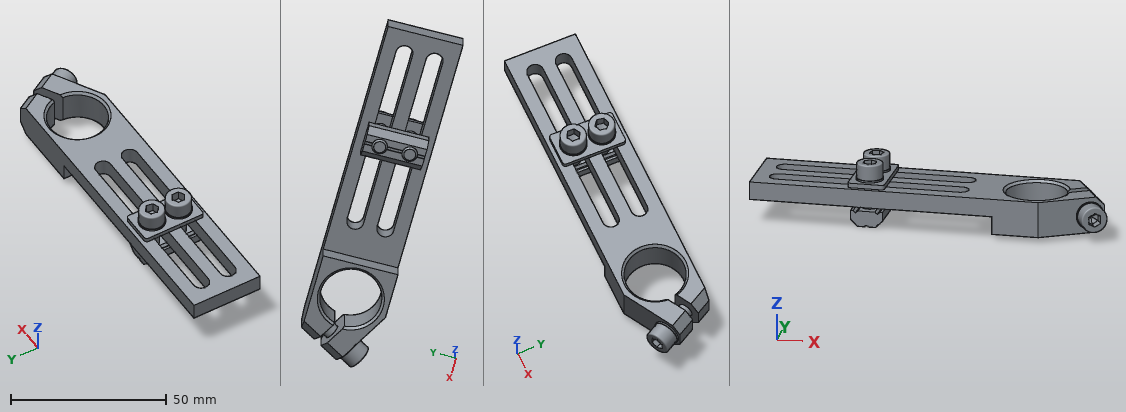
import cadquery as cq
import math

arm_width = 25.0
half_width = arm_width / 2
bar_thickness = 6.0
pad_thickness = 2 * bar_thickness
pad_start = 79.9
corner_x = 95.3

slot_width = 5.5
slot_start = 5.0
slot_end = 70.7
slot_spacing = 10.0
slot_offsets = (-slot_spacing / 2, slot_spacing / 2)

clamp_angle = 30.0
bore_diameter = 20.0
bore_chamfer = 0.8
gap_width = 3.0
gap_offset = 4.0
clamp_reach = 19.0
end_chamfer = 2.9
clamp_screw_reach = 14.0
bore_x = corner_x - half_width * math.tan(math.radians(clamp_angle / 2))

screw_diameter = 5.0
screw_length = 16.0
screw_tip_chamfer = 0.6
head_diameter = 8.5
head_height = 5.0
head_fillet = 0.5
socket_across_flats = 4.0
socket_depth = 3.0
socket_across_corners = socket_across_flats / math.cos(math.radians(30))
socket_tip_angle = 120.0
pyramid_depth = 1.0
socket_tip_depth = socket_across_corners / 2 / math.tan(math.radians(socket_tip_angle / 2))
washer_diameter = 9.0
washer_hole = 5.3
washer_thickness = 0.6

plate_length = 12.0
plate_width = 22.0
plate_thickness = 1.5
plate_corner = 1.0
plate_hole = slot_width
fixing_x = 38.0
fixing_turns = (0.0, -10.0)

nut_width = 10.5
nut_length = 20.0
nut_top = -8.0
nut_height = 5.3
nut_side_height = 3.0
nut_base_width = 6.0
top_groove_width = 1.6
top_groove_depth = 0.7
top_groove_offset = 3.6
bottom_groove_width = 0.9
bottom_groove_depth = 0.4

clamp_plane = cq.Plane(
    origin=(bore_x, 0, 0),
    xDir=(math.cos(math.radians(clamp_angle)), math.sin(math.radians(clamp_angle)), 0),
    normal=(0, 0, 1),
)
clamp_seat = cq.Plane(
    origin=clamp_plane.toWorldCoords((clamp_screw_reach, -half_width, -pad_thickness / 2)),
    xDir=(0, 0, 1),
    normal=-clamp_plane.yDir,
)


def plate_seat(y, turn):
    """Seat of a fixing screw on the plate's top face, turned about the screw axis."""
    seat = cq.Plane(origin=(fixing_x, y, plate_thickness), xDir=(0, 1, 0), normal=(0, 0, 1))
    return seat.rotated((0, 0, turn))


def place(body, seat):
    """Move a body built on the XY plane onto a seat plane."""
    return body.val().moved(cq.Location(seat))


def make_screw(make_socket):
    """Socket head screw along Z whose washer rests on Z = 0."""
    head_base = washer_thickness
    head_top = head_base + head_height
    shank = (
        cq.Workplane("XY", origin=(0, 0, head_base))
        .circle(screw_diameter / 2)
        .extrude(-screw_length)
        .faces("<Z")
        .chamfer(screw_tip_chamfer)
    )
    head = (
        cq.Workplane("XY", origin=(0, 0, head_base))
        .circle(head_diameter / 2)
        .extrude(head_height)
        .faces(">Z")
        .fillet(head_fillet)
    )
    return head.union(shank).cut(make_socket(head_top))


def make_conical_socket(head_top):
    """Hexagonal recess with a conical bottom."""
    hexagon = (
        cq.Workplane("XY", origin=(0, 0, head_top))
        .polygon(6, socket_across_corners)
        .extrude(-socket_depth - socket_tip_depth)
    )
    drill = (
        cq.Workplane("XZ")
        .moveTo(0, head_top)
        .lineTo(socket_across_corners / 2, head_top)
        .lineTo(socket_across_corners / 2, head_top - socket_depth)
        .lineTo(0, head_top - socket_depth - socket_tip_depth)
        .close()
        .revolve(360, (0, 0, 0), (0, 1, 0))
    )
    return hexagon.intersect(drill)


def make_pyramid_socket(head_top):
    """Hexagonal recess with a six-sided pyramid bottom."""
    hexagon = (
        cq.Workplane("XY", origin=(0, 0, head_top))
        .polygon(6, socket_across_corners)
        .extrude(-socket_depth)
    )
    tip = (
        cq.Workplane("XY", origin=(0, 0, head_top - socket_depth))
        .polygon(6, socket_across_corners)
        .extrude(-pyramid_depth, taper=socket_tip_angle / 2)
    )
    return hexagon.union(tip)


def make_washer():
    return (
        cq.Workplane("XY")
        .circle(washer_diameter / 2)
        .circle(washer_hole / 2)
        .extrude(washer_thickness)
    )


def make_clamp_arm(clamp_screw):
    end_front = clamp_plane.toWorldCoords((clamp_reach, -half_width, 0))
    end_rear_x = end_front.x - (half_width - end_front.y) * math.tan(math.radians(clamp_angle))
    body = (
        cq.Workplane("XY")
        .polyline([
            (0, -half_width),
            (corner_x, -half_width),
            (end_front.x, end_front.y),
            (end_rear_x, half_width),
            (0, half_width),
        ])
        .close()
        .extrude(-pad_thickness)
    )
    end_edges = body.faces(cq.selectors.DirectionMinMaxSelector(clamp_plane.xDir)).edges("#Z")
    body = body.newObject(end_edges.vals()).chamfer(end_chamfer)

    relief = cq.Workplane("XY", origin=(0, 0, -pad_thickness)).box(
        pad_start, arm_width, pad_thickness - bar_thickness, centered=(False, True, False)
    )
    slots = (
        cq.Workplane("XY")
        .pushPoints([((slot_start + slot_end) / 2, y) for y in slot_offsets])
        .slot2D(slot_end - slot_start, slot_width)
        .extrude(-bar_thickness)
    )
    bore = cq.Workplane(clamp_plane).circle(bore_diameter / 2).extrude(-pad_thickness)
    body = body.cut(relief).cut(slots).cut(bore)
    body = body.edges(cq.selectors.RadiusNthSelector(-1)).chamfer(bore_chamfer)

    gap = (
        cq.Workplane(clamp_plane)
        .center(clamp_reach / 2, -gap_offset)
        .rect(clamp_reach, gap_width)
        .extrude(-pad_thickness)
    )
    return body.cut(gap).cut(clamp_screw)


def make_plate():
    return (
        cq.Workplane("XY", origin=(fixing_x, 0, 0))
        .rect(plate_length, plate_width)
        .extrude(plate_thickness)
        .edges("|Z")
        .fillet(plate_corner)
        .pushPoints([(0, y) for y in slot_offsets])
        .circle(plate_hole / 2)
        .cutThruAll()
    )


def make_top_groove(x):
    """V groove along the nut's top face."""
    return (
        cq.Workplane("XZ", origin=(fixing_x + x, 0, nut_top))
        .polyline([(-top_groove_width / 2, 0), (0, -top_groove_depth), (top_groove_width / 2, 0)])
        .close()
        .extrude(nut_length / 2, both=True)
    )


def make_bottom_groove():
    """Shallow flat-bottomed groove along the middle of the nut's underside."""
    return cq.Workplane("XY", origin=(fixing_x, 0, nut_top - nut_height)).box(
        bottom_groove_width, nut_length, bottom_groove_depth, centered=(True, True, False)
    )


def make_slot_nut(screws):
    half = nut_width / 2
    half_base = nut_base_width / 2
    side_bottom = nut_top - nut_side_height
    bottom = nut_top - nut_height
    body = (
        cq.Workplane("XZ", origin=(fixing_x, 0, 0))
        .polyline([
            (-half, nut_top),
            (-half, side_bottom),
            (-half_base, bottom),
            (half_base, bottom),
            (half, side_bottom),
            (half, nut_top),
        ])
        .close()
        .extrude(nut_length / 2, both=True)
    )
    for x in (-top_groove_offset, top_groove_offset):
        body = body.cut(make_top_groove(x))
    body = body.cut(make_bottom_groove())
    for screw in screws:
        body = body.cut(screw)
    return body


fixing_screw = make_screw(make_conical_socket)
washer = make_washer()
fixing_seats = [plate_seat(y, turn) for y, turn in zip(slot_offsets, fixing_turns)]
fixing_screws = [place(fixing_screw, seat) for seat in fixing_seats]
fixing_washers = [place(washer, seat) for seat in fixing_seats]
clamp_screw = place(make_screw(make_pyramid_socket), clamp_seat)
clamp_washer = place(washer, clamp_seat)
clamp_arm = make_clamp_arm(clamp_screw)
plate = make_plate()
slot_nut = make_slot_nut(fixing_screws)

result = cq.Compound.makeCompound([
    clamp_arm.val(),
    plate.val(),
    slot_nut.val(),
    *fixing_screws,
    *fixing_washers,
    clamp_screw,
    clamp_washer,
])